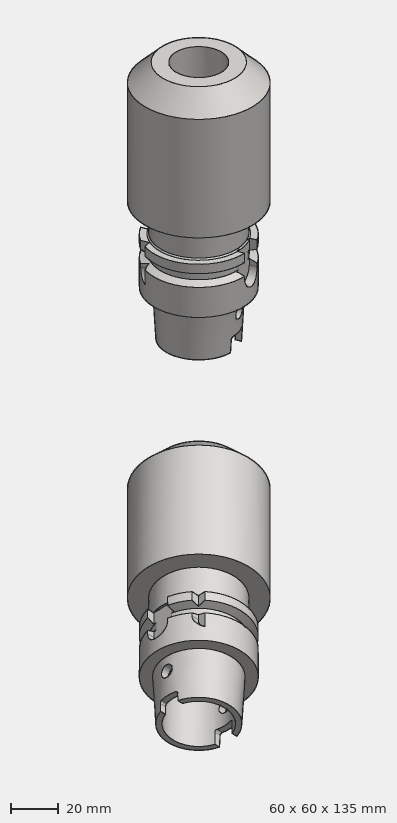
import cadquery as cq

total_height = 135.0
flange_bottom = 25.0
flange_top = 51.0
head_bottom = 67.0

head_radius = 30.0
nose_radius = 20.0
nose_chamfer = head_radius - nose_radius
bore_radius = 12.5
bore_depth = 58.0

neck_radius = 21.0
neck_chamfer = 0.7
flange_radius = 25.0
groove_radius = 21.2
groove_upper_edge = 46.5
groove_upper_root = 45.0
groove_lower_root = 41.2
groove_lower_edge = 39.7

shank_top_radius = 19.5
shank_bottom_radius = 18.1
cavity_radius = 15.4
cavity_depth = flange_bottom
cross_hole_diameter = 6.3
cross_hole_height = 17.7

keyway_radius = 6.0
keyway_floor = 20.7
keyway_center_height = 38.1
notch_inset = 15.7

drive_slot_width = 10.3
drive_slot_fillet = 1.1
shallow_slot_height = 5.0
deep_slot_height = 7.5


def turned_body():
    """Revolved outside profile about the Z axis."""
    profile = [
        (0, 0),
        (shank_bottom_radius, 0),
        (shank_top_radius, flange_bottom),
        (flange_radius, flange_bottom),
        (flange_radius, groove_lower_edge),
        (groove_radius, groove_lower_root),
        (groove_radius, groove_upper_root),
        (flange_radius, groove_upper_edge),
        (flange_radius, flange_top),
        (neck_radius + neck_chamfer, flange_top),
        (neck_radius, flange_top + neck_chamfer),
        (neck_radius, head_bottom),
        (head_radius, head_bottom),
        (head_radius, total_height - nose_chamfer),
        (nose_radius, total_height),
        (0, total_height),
    ]
    return cq.Workplane("XZ").polyline(profile).close().revolve(360, (0, 0), (0, 1))


def round_ended_cutter(center_y):
    """Upright slot, open at the flange top, running outward along +X from X = 0."""
    width = 2 * keyway_radius
    upright = flange_top - keyway_center_height
    plane = cq.Workplane("YZ").center(center_y, keyway_center_height)
    round_end = plane.circle(keyway_radius).extrude(flange_radius)
    straight = plane.center(0, upright / 2).rect(width, upright).extrude(flange_radius)
    return round_end.union(straight)


def drive_slot(height, direction):
    """Slot through one wall of the shank end, on the +X or -X side."""
    return (
        cq.Workplane("XY")
        .center(direction * flange_radius / 2, 0)
        .rect(flange_radius, drive_slot_width)
        .extrude(height)
        .edges("|X and >Z")
        .fillet(drive_slot_fillet)
    )


result = turned_body()

tool_bore = cq.Workplane("XY", origin=(0, 0, total_height)).circle(bore_radius).extrude(-bore_depth)
shank_cavity = cq.Workplane("XY").circle(cavity_radius).extrude(cavity_depth)
result = result.cut(tool_bore).cut(shank_cavity)

cross_hole = (
    cq.Workplane("YZ", origin=(0, 0, cross_hole_height))
    .circle(cross_hole_diameter / 2)
    .extrude(flange_radius, both=True)
)
result = result.cut(cross_hole)

keyway = round_ended_cutter(0).translate((keyway_floor, 0, 0))
for angle in (0, 180):
    result = result.cut(keyway.rotate((0, 0, 0), (0, 0, 1), angle))

notch = round_ended_cutter(notch_inset + keyway_radius).translate((notch_inset, 0, 0))
result = result.cut(notch.rotate((0, 0, 0), (0, 0, 1), 180))

result = result.cut(drive_slot(deep_slot_height, 1))
result = result.cut(drive_slot(shallow_slot_height, -1))